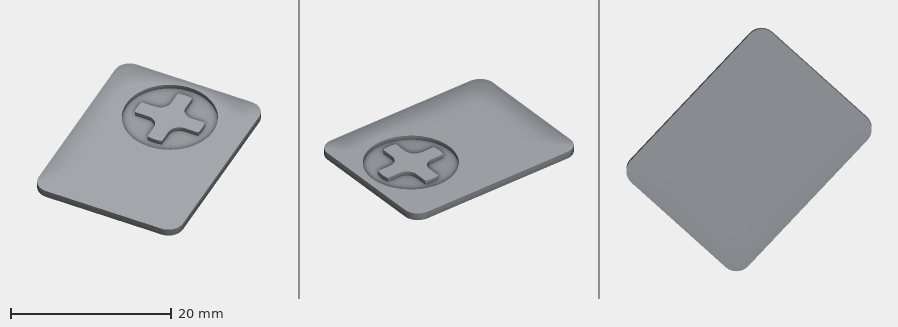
import cadquery as cq

plate_width = 20.0
plate_length = 26.0
plate_thickness = 1.0
corner_radius = 2.0

recess_center_y = 6.0
recess_diameter = 12.0
recess_depth = 0.6

cross_diameter = 9.0
arm_width = 2.0
inner_corner_radius = 1.5


def make_plate():
    """Flat plate on the Z = 0 plane with rounded vertical corners."""
    return (
        cq.Workplane("XY")
        .box(plate_width, plate_length, plate_thickness, centered=(True, True, False))
        .edges("|Z")
        .fillet(corner_radius)
    )


def make_cross(floor):
    """Cross with filleted inner corners and arm ends rounded to a common circle."""
    arm_across = floor.rect(cross_diameter, arm_width).extrude(recess_depth)
    arm_along = floor.rect(arm_width, cross_diameter).extrude(recess_depth)
    middle = cq.selectors.BoxSelector(
        (-arm_width, recess_center_y - arm_width, 0),
        (arm_width, recess_center_y + arm_width, plate_thickness),
    )
    cross = arm_across.union(arm_along).edges("|Z").edges(middle).fillet(inner_corner_radius)
    end_circle = floor.circle(cross_diameter / 2).extrude(recess_depth)
    return cross.intersect(end_circle)


def make_recess():
    """Material removed around the cross."""
    floor_height = plate_thickness - recess_depth
    floor = cq.Workplane("XY", origin=(0, recess_center_y, floor_height))
    disc = floor.circle(recess_diameter / 2).extrude(recess_depth)
    return disc.cut(make_cross(floor))


result = make_plate().cut(make_recess())